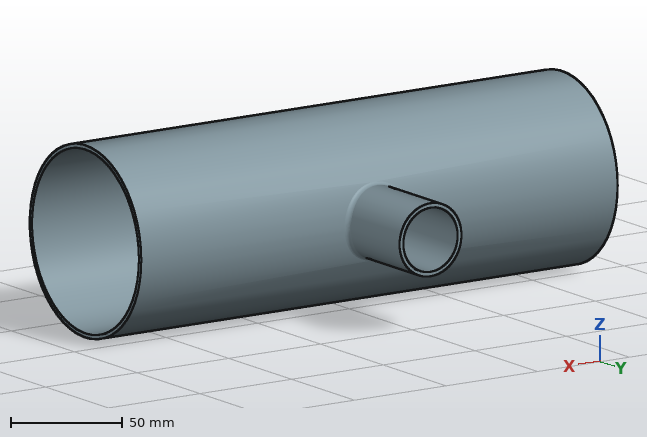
import cadquery as cq

run_length = 260.0
run_outer_diameter = 89.0
run_inner_diameter = 85.0

branch_outer_diameter = 33.8
branch_inner_diameter = 29.6
branch_reach = 85.0
weld_radius = 2.0


def run_cylinder(diameter):
    """Solid cylinder along X, centred on the origin."""
    return cq.Workplane("YZ").circle(diameter / 2).extrude(run_length / 2, both=True)


def branch_cylinder(diameter):
    """Solid cylinder from the run axis out to the branch end in +Y."""
    return cq.Workplane("XZ").circle(diameter / 2).extrude(-branch_reach)


seam_box = cq.selectors.BoxSelector(
    (-branch_outer_diameter, 0, -branch_outer_diameter),
    (branch_outer_diameter, run_outer_diameter / 2 + weld_radius, branch_outer_diameter),
    boundingbox=True,
)

outer = run_cylinder(run_outer_diameter).union(branch_cylinder(branch_outer_diameter))
outer = outer.edges(seam_box).fillet(weld_radius)
result = outer.cut(run_cylinder(run_inner_diameter)).cut(branch_cylinder(branch_inner_diameter))